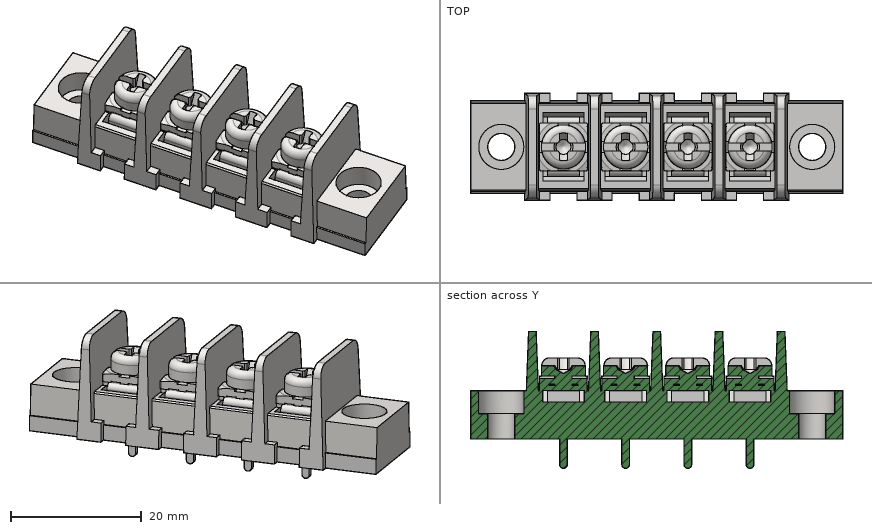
import cadquery as cq
import math


LENGTH = 57.0
POLES = 4
PITCH = 9.5
POLE_X = [(i - (POLES - 1) / 2) * PITCH for i in range(POLES)]
WALL_X = [(i - POLES / 2) * PITCH for i in range(POLES + 1)]
MOUNT_X = PITCH * (POLES + 1) / 2

BASE_HEIGHT = 7.4
SKIRT_HEIGHT = 2.45
SKIRT_WIDTH = 14.25
BASE_WIDTH_LOW = 13.7
BASE_WIDTH_TOP = 13.2
POLE_EDGE_CHAMFER = 0.2
MOUNT_HOLE_DIAMETER = 4.1
COUNTERBORE_DIAMETER = 6.9
COUNTERBORE_DEPTH = 3.55

WALL_HEIGHT = 16.5
WALL_WIDTH = 16.5
WALL_WIDTH_TOP = 15.5
WALL_CORNER_RADIUS = 2.0
WALL_THICKNESS = 2.45
WALL_THICKNESS_TOP = 1.2
FOOT_LENGTH = 5.4
FOOT_HEIGHT = 3.1

RECESS_LENGTH = 6.3
RECESS_WIDTH_TOP = 10.5
RECESS_DEPTH = 1.7
RECESS_FLOOR = BASE_HEIGHT - RECESS_DEPTH

STRAP_THICKNESS = 0.8
STRAP_LENGTH = 7.35
STRAP_FLAT_WIDTH = 6.25
TONGUE_LENGTH = 4.95
TONGUE_SPAN = 9.1
TONGUE_BEND_RADIUS = 0.9
STRAP_TOP = BASE_HEIGHT + STRAP_THICKNESS

WASHER_SIDE = 7.35
WASHER_THICKNESS = 1.4
WASHER_CORNER_RADIUS = 0.3
WASHER_FLAT_RADIUS = 4.1
WASHER_CORNER_DROP = 0.3
TOP_GROOVE_WIDTH = 1.7
TOP_GROOVE_DEPTH = 0.35
BOTTOM_GROOVE_WIDTH = 1.55
BOTTOM_GROOVE_DEPTH = 0.15
BOTTOM_GROOVE_OFFSET = 1.4
WASHER_TOP = STRAP_TOP + WASHER_THICKNESS

HEAD_DIAMETER = 6.8
HEAD_TOP = 12.4
HEAD_FILLET = 1.2
SHANK_DIAMETER = 2.7
SLOT_WIDTH = 1.2
SLOT_DEPTH = 1.2
CROSS_WIDTH = SLOT_WIDTH
CROSS_CORNER_BEVEL = 0.3
CROSS_RADIUS_TOP = 2.1
CROSS_RADIUS_LOW = 1.15
CROSS_TAPER_DEPTH = 1.75
CROSS_TIP_DEPTH = 2.4

PIN_WIDTH = 1.2
PIN_THICKNESS = 0.8
PIN_LENGTH = 4.5


def box(length, width, z_low, z_high):
    """Block centred on the Z axis, between two heights."""
    return cq.Workplane("XY").workplane(offset=z_low).rect(length, width).extrude(z_high - z_low)


def cylinder(diameter, z_low, z_high):
    return cq.Workplane("XY").workplane(offset=z_low).circle(diameter / 2).extrude(z_high - z_low)


def trapezoid_along_x(width_low, width_high, z_low, z_high, length):
    """Bar along X with a trapezoid section in Y and Z."""
    corners = [
        (-width_low / 2, z_low),
        (width_low / 2, z_low),
        (width_high / 2, z_high),
        (-width_high / 2, z_high),
    ]
    return cq.Workplane("YZ").polyline(corners).close().extrude(length / 2, both=True)


def make_base():
    skirt = box(LENGTH, SKIRT_WIDTH, 0, SKIRT_HEIGHT)
    upper = trapezoid_along_x(BASE_WIDTH_LOW, BASE_WIDTH_TOP, SKIRT_HEIGHT, BASE_HEIGHT, LENGTH)
    base = skirt.union(upper)
    mount = cylinder(MOUNT_HOLE_DIAMETER, 0, BASE_HEIGHT)
    mount = mount.union(cylinder(COUNTERBORE_DIAMETER, BASE_HEIGHT - COUNTERBORE_DEPTH, BASE_HEIGHT))
    for x in (-MOUNT_X, MOUNT_X):
        base = base.cut(mount.translate((x, 0, 0)))
    return base


def make_pole_cutter():
    """Strap recess with sloping front and back, plus the bevels on the long top edges."""
    cutter = trapezoid_along_x(TONGUE_SPAN, RECESS_WIDTH_TOP, RECESS_FLOOR, BASE_HEIGHT, RECESS_LENGTH)
    edge = BASE_WIDTH_TOP / 2
    bevel = [
        (edge - POLE_EDGE_CHAMFER, BASE_HEIGHT),
        (edge + POLE_EDGE_CHAMFER, BASE_HEIGHT),
        (edge + POLE_EDGE_CHAMFER, BASE_HEIGHT - 2 * POLE_EDGE_CHAMFER),
    ]
    bevel_bar = cq.Workplane("YZ").polyline(bevel).close().extrude(PITCH / 2, both=True)
    return cutter.union(bevel_bar).union(bevel_bar.mirror("XZ"))


def make_wall(foot_left, foot_right):
    """Tapered barrier wall with an optional foot on each side."""
    taper = (WALL_THICKNESS - WALL_THICKNESS_TOP) / 2 / WALL_HEIGHT
    half_base = WALL_THICKNESS / 2
    half_at_foot = half_base - taper * FOOT_HEIGHT

    def flank(has_foot):
        if has_foot:
            return [(FOOT_LENGTH / 2, 0), (FOOT_LENGTH / 2, FOOT_HEIGHT), (half_at_foot, FOOT_HEIGHT)]
        return [(half_base, 0)]

    right = flank(foot_right) + [(WALL_THICKNESS_TOP / 2, WALL_HEIGHT)]
    left = flank(foot_left) + [(WALL_THICKNESS_TOP / 2, WALL_HEIGHT)]
    outline = right + [(-x, z) for x, z in reversed(left)]
    front = cq.Workplane("XZ").polyline(outline).close().extrude(WALL_WIDTH / 2, both=True)
    side = trapezoid_along_x(WALL_WIDTH, WALL_WIDTH_TOP, 0, WALL_HEIGHT, FOOT_LENGTH)
    side = side.edges("|X and >Z").fillet(WALL_CORNER_RADIUS)
    return front.intersect(side)


def make_strap():
    """Flat plate with a narrower tongue bent down at its front and back."""
    plate = box(STRAP_LENGTH, STRAP_FLAT_WIDTH, BASE_HEIGHT, STRAP_TOP)
    outer = box(TONGUE_LENGTH, TONGUE_SPAN, RECESS_FLOOR, STRAP_TOP)
    outer = outer.edges("|X and >Z").fillet(TONGUE_BEND_RADIUS)
    inner = box(TONGUE_LENGTH, TONGUE_SPAN - 2 * STRAP_THICKNESS, RECESS_FLOOR, BASE_HEIGHT)
    inner = inner.edges("|X and >Z").fillet(TONGUE_BEND_RADIUS - STRAP_THICKNESS)
    return plate.union(outer.cut(inner))


def make_washer():
    """Square washer whose corners slope down outside a flat circle, with shallow grooves."""
    washer = box(WASHER_SIDE, WASHER_SIDE, STRAP_TOP, WASHER_TOP)
    washer = washer.edges("|Z").fillet(WASHER_CORNER_RADIUS)
    corner_radius = WASHER_SIDE / math.sqrt(2)
    crown = (
        cq.Workplane("XZ")
        .moveTo(0, STRAP_TOP)
        .lineTo(corner_radius, STRAP_TOP)
        .lineTo(corner_radius, WASHER_TOP - WASHER_CORNER_DROP)
        .lineTo(WASHER_FLAT_RADIUS, WASHER_TOP)
        .lineTo(0, WASHER_TOP)
        .close()
        .revolve(360, (0, 0), (0, 1))
    )
    washer = washer.intersect(crown)
    groove_floor = WASHER_TOP - TOP_GROOVE_DEPTH
    washer = washer.cut(box(TOP_GROOVE_WIDTH, WASHER_SIDE, groove_floor, WASHER_TOP))
    washer = washer.cut(box(WASHER_SIDE, TOP_GROOVE_WIDTH, groove_floor, WASHER_TOP))
    groove = box(BOTTOM_GROOVE_WIDTH, WASHER_SIDE, STRAP_TOP, STRAP_TOP + BOTTOM_GROOVE_DEPTH)
    for x in (-BOTTOM_GROOVE_OFFSET, BOTTOM_GROOVE_OFFSET):
        washer = washer.cut(groove.translate((x, 0, 0)))
    return washer


def make_screw():
    """Pan-head screw with a full slot and a tapered cross recess."""
    head = cylinder(HEAD_DIAMETER, WASHER_TOP, HEAD_TOP).faces(">Z").edges().fillet(HEAD_FILLET)
    screw = head.union(cylinder(SHANK_DIAMETER, STRAP_TOP, WASHER_TOP))
    screw = screw.cut(box(HEAD_DIAMETER, SLOT_WIDTH, HEAD_TOP - SLOT_DEPTH, HEAD_TOP))
    tip_z = HEAD_TOP - CROSS_TIP_DEPTH
    cone = (
        cq.Workplane("XZ")
        .moveTo(0, tip_z)
        .lineTo(CROSS_RADIUS_LOW, HEAD_TOP - CROSS_TAPER_DEPTH)
        .lineTo(CROSS_RADIUS_TOP, HEAD_TOP)
        .lineTo(0, HEAD_TOP)
        .close()
        .revolve(360, (0, 0), (0, 1))
    )
    cross = box(CROSS_WIDTH, HEAD_DIAMETER, tip_z, HEAD_TOP)
    cross = cross.union(box(HEAD_DIAMETER, CROSS_WIDTH, tip_z, HEAD_TOP))
    bevel_side = math.sqrt(2) * (CROSS_WIDTH + CROSS_CORNER_BEVEL)
    cross = cross.union(box(bevel_side, bevel_side, tip_z, HEAD_TOP).rotate((0, 0, 0), (0, 0, 1), 45))
    return screw.cut(cone.intersect(cross))


def make_pin():
    half = PIN_WIDTH / 2
    tip_centre_z = half - PIN_LENGTH
    return (
        cq.Workplane("XZ")
        .moveTo(-half, 0)
        .lineTo(-half, tip_centre_z)
        .threePointArc((0, -PIN_LENGTH), (half, tip_centre_z))
        .lineTo(half, 0)
        .close()
        .extrude(PIN_THICKNESS / 2, both=True)
    )


result = make_base()

pole_cutter = make_pole_cutter()
for x in POLE_X:
    result = result.cut(pole_cutter.translate((x, 0, 0)))

for x in WALL_X:
    wall = make_wall(foot_left=x > WALL_X[0], foot_right=x < WALL_X[-1])
    result = result.union(wall.translate((x, 0, 0)))

terminal = make_strap().union(make_washer()).union(make_screw())
pin = make_pin()
for x in POLE_X:
    result = result.union(terminal.translate((x, 0, 0)))
    result = result.union(pin.translate((x, 0, 0)))